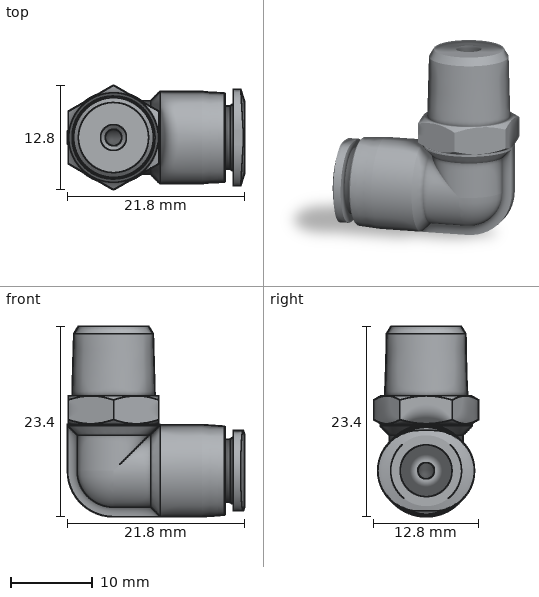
import cadquery as cq
import math


elbow_radius = 4.53
body_radius = 5.65
rib_thickness = 1.5
cone_height = body_radius - elbow_radius

total_height = 23.35
stud_top = total_height - body_radius
hex_bottom = 5.72
hex_top = 9.2
hex_flats = 11.11
hex_corners = hex_flats / math.cos(math.radians(30))
hex_face_radius = 5.49
hex_chamfer_angle = 30
collar_bottom = 5.49
thread_base_radius = 5.1
thread_end_radius = 4.88
thread_tip_radius = 4.3
thread_tip_height = 0.95

socket_start = 5.7
taper_start = 10.83
taper_end = 12.8
socket_end = 13.7
taper_end_radius = 5.5
socket_end_radius = 5.452
socket_edge_chamfer = 0.15

total_length = 21.75
collar_end = total_length - body_radius
neck_radius = 3.88
neck_flare_start = 14.27
neck_flare_radius = 4.1
flange_start = 14.65
flange_half_height = 4.93
flange_half_flat = 1.0
flange_face_radius = 4.35
flange_cone_drop = 0.51

passage_radius = 2.0 / 2
countersink_radius = 3.18 / 2
countersink_half_angle = 30
tube_radius = 6.35 / 2


def revolve_about_z(profile):
    """Revolve a closed (radius, z) profile about the stud axis."""
    return cq.Workplane("XZ").polyline(profile).close().revolve(360, (0, 0, 0), (0, 1, 0))


def revolve_about_x(profile):
    """Revolve a closed (x, radius) profile about the socket axis."""
    return cq.Workplane("XZ").polyline(profile).close().revolve(360, (0, 0, 0), (1, 0, 0))


def make_stud():
    """Lower arm of the elbow, flared collar and tapered thread."""
    return revolve_about_z([
        (0, 0),
        (elbow_radius, 0),
        (elbow_radius, collar_bottom - cone_height),
        (body_radius, collar_bottom),
        (body_radius, hex_bottom),
        (thread_base_radius, hex_bottom),
        (thread_base_radius, hex_top),
        (thread_end_radius, stud_top - thread_tip_height),
        (thread_tip_radius, stud_top),
        (0, stud_top),
    ])


def make_hexagon():
    """Hexagon with flats facing X and its corners chamfered at both ends."""
    corner_radius = hex_corners / 2
    chamfer_drop = (corner_radius - hex_face_radius) * math.tan(math.radians(hex_chamfer_angle))
    hexagon = (
        cq.Workplane("XY", origin=(0, 0, hex_bottom))
        .transformed(rotate=(0, 0, 30))
        .polygon(6, hex_corners)
        .extrude(hex_top - hex_bottom)
    )
    envelope = revolve_about_z([
        (0, hex_bottom),
        (hex_face_radius, hex_bottom),
        (corner_radius, hex_bottom + chamfer_drop),
        (corner_radius, hex_top - chamfer_drop),
        (hex_face_radius, hex_top),
        (0, hex_top),
    ])
    return hexagon.intersect(envelope)


def make_socket():
    """Horizontal arm of the elbow, socket body and neck of the release collar."""
    return revolve_about_x([
        (0, 0),
        (0, elbow_radius),
        (socket_start - cone_height, elbow_radius),
        (socket_start, body_radius),
        (taper_start, body_radius),
        (taper_end, taper_end_radius),
        (socket_end - socket_edge_chamfer, socket_end_radius),
        (socket_end, socket_end_radius - socket_edge_chamfer),
        (socket_end, neck_radius),
        (neck_flare_start, neck_radius),
        (flange_start, neck_flare_radius),
        (flange_start, 0),
    ])


def make_rib():
    """Flat rib around the outside of the elbow."""
    arc_middle = -body_radius * math.sqrt(0.5)
    return (
        cq.Workplane("XZ")
        .moveTo(0, -body_radius)
        .threePointArc((arc_middle, arc_middle), (-body_radius, 0))
        .lineTo(-body_radius, hex_bottom)
        .lineTo(0, hex_bottom)
        .lineTo(0, 0)
        .lineTo(socket_start, 0)
        .lineTo(socket_start, -body_radius)
        .close()
        .extrude(rib_thickness / 2, both=True)
    )


def make_flange():
    """Oval release flange, trimmed by a shallow cone on its outer face."""
    half_width = flange_half_height + flange_half_flat
    oval = (
        cq.Workplane("YZ", origin=(flange_start, 0, 0))
        .slot2D(2 * half_width, 2 * flange_half_height)
        .extrude(collar_end - flange_start)
    )
    envelope = revolve_about_x([
        (flange_start, 0),
        (flange_start, half_width),
        (collar_end - flange_cone_drop, half_width),
        (collar_end, flange_face_radius),
        (collar_end, 0),
    ])
    return oval.intersect(envelope)


def make_passages():
    """Countersunk stud bore, its round-ended side bore and the wider tube bore."""
    countersink_depth = (countersink_radius - passage_radius) / math.tan(math.radians(countersink_half_angle))
    stud_bore = revolve_about_z([
        (0, 0),
        (passage_radius, 0),
        (passage_radius, stud_top - countersink_depth),
        (countersink_radius, stud_top),
        (0, stud_top),
    ])
    side_bore = cq.Workplane("YZ").circle(passage_radius).extrude(socket_start)
    tube_bore = (
        cq.Workplane("YZ", origin=(socket_start, 0, 0))
        .circle(tube_radius)
        .extrude(collar_end - socket_start)
    )
    bore_end = cq.Workplane("XY").sphere(passage_radius)
    return stud_bore.union(side_bore).union(tube_bore).union(bore_end)


elbow_corner = cq.Workplane("XY").sphere(elbow_radius)

result = (
    make_stud()
    .union(make_socket())
    .union(elbow_corner)
    .union(make_rib())
    .union(make_hexagon())
    .union(make_flange())
    .cut(make_passages())
)